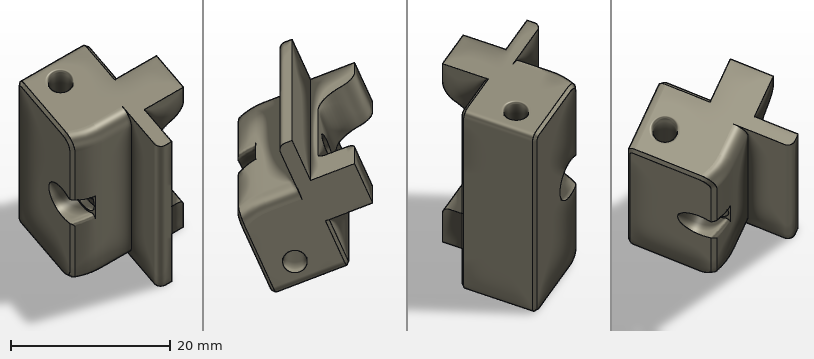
import cadquery as cq
import math

height = 30.6
width = 18.9
depth = 16.5

body_width = 12.9
back_face = 10.5
side_curve_radius = 9.0
side_curve_depth = 4.0
left_corner_radius = 1.0
right_corner_radius = 2.0
edge_chamfer = 0.43

stem_left = 7.0
flange_thickness = 2.0
flange_corner_radius = 1.0

recess_depth = 5.0
recess_floor = depth - recess_depth
step_height = 6.0
step_radius = 1.0
upper_convex_radius = 3.0
upper_concave_radius = 5.0
upper_straight = 3.0

screw_x = 9.95
screw_diameter = 3.4
outer_bore_diameter = 6.0
outer_bore_depth = 3.0
inner_bore_diameter = 5.4
inner_bore_depth = 4.0
bore_mouth_radius = 0.5

pin_x = 3.35
pin_y = 4.35
pin_diameter = 3.1
pin_rim_radius = 0.4


def y_cylinder(diameter, length):
    """Cylinder on the screw axis, starting at the front face."""
    plane = cq.Workplane("XZ", origin=(screw_x, 0, height / 2))
    return plane.circle(diameter / 2).extrude(-length)


def make_body():
    """Block with a curved right side, rounded corners and chamfered front and back."""

    def side_x(y):
        rise = side_curve_depth - y
        return body_width - side_curve_radius + math.sqrt(side_curve_radius**2 - rise**2)

    curve_middle = side_curve_depth / 2
    body = (
        cq.Workplane("XY")
        .lineTo(side_x(0), 0)
        .threePointArc((side_x(curve_middle), curve_middle), (body_width, side_curve_depth))
        .lineTo(body_width, back_face)
        .lineTo(0, back_face)
        .close()
        .extrude(height)
    )
    body = body.edges("not (|X or |Y or |Z)").fillet(right_corner_radius)
    body = body.faces("<X").edges("|Y").fillet(left_corner_radius)
    return body.faces("<Y or >Y").edges().chamfer(edge_chamfer)


def cut_outer_bore(body):
    """Counterbore that breaks out through the curved side, leaving a rounded mouth."""
    bored = body.cut(y_cylinder(outer_bore_diameter, outer_bore_depth))
    bore_radius = outer_bore_diameter / 2
    mouth_edges = cq.selectors.BoxSelector(
        (screw_x + bore_radius / 2, edge_chamfer, height / 2 - bore_radius),
        (body_width, outer_bore_depth - edge_chamfer, height / 2 + bore_radius),
    )
    return bored.edges(mouth_edges).fillet(bore_mouth_radius)


def make_stem():
    """Bar behind the body, with a stepped recess that runs out in an S-curve at the top."""
    radius_sum = upper_convex_radius + upper_concave_radius
    across = radius_sum - recess_depth
    drop = math.sqrt(radius_sum**2 - across**2)
    convex_y = depth - upper_convex_radius
    convex_z = height - upper_straight
    concave_y = recess_floor + upper_concave_radius
    concave_z = convex_z - drop
    tilt = math.atan2(drop, across)

    def arc_point(center_y, center_z, radius, angle):
        return (center_y + radius * math.cos(angle), center_z + radius * math.sin(angle))

    join = arc_point(convex_y, convex_z, upper_convex_radius, -tilt)
    convex_mid = arc_point(convex_y, convex_z, upper_convex_radius, -tilt / 2)
    concave_mid = arc_point(concave_y, concave_z, upper_concave_radius, math.pi - tilt / 2)
    stem_front = back_face - flange_thickness

    stem = (
        cq.Workplane("YZ", origin=(stem_left, 0, 0))
        .moveTo(stem_front, 0)
        .lineTo(depth, 0)
        .lineTo(depth, step_height - step_radius)
        .radiusArc((depth - step_radius, step_height), -step_radius)
        .lineTo(recess_floor + step_radius, step_height)
        .radiusArc((recess_floor, step_height + step_radius), step_radius)
        .lineTo(recess_floor, concave_z)
        .threePointArc(concave_mid, join)
        .threePointArc(convex_mid, (depth, convex_z))
        .lineTo(depth, height)
        .lineTo(stem_front, height)
        .close()
        .extrude(body_width - stem_left)
    )
    return stem


def make_flange():
    """Full-height plate reaching past the body, rounded on its front outer edge."""
    plate = cq.Workplane("XY").box(width - stem_left, flange_thickness, height, centered=False)
    plate = plate.edges("|Z and >X and <Y").fillet(flange_corner_radius)
    return plate.translate((stem_left, back_face - flange_thickness, 0))


def cut_pin_hole(body):
    """Full-height hole with a rounded rim at the top."""
    hole = cq.Workplane("XY", origin=(pin_x, pin_y, 0)).circle(pin_diameter / 2).extrude(height)
    return body.cut(hole).faces(">Z").edges("%CIRCLE").edges("<X").fillet(pin_rim_radius)


part = cut_outer_bore(make_body())
part = part.union(make_stem()).union(make_flange())
part = part.cut(y_cylinder(inner_bore_diameter, inner_bore_depth))
part = part.cut(y_cylinder(screw_diameter, depth))
part = cut_pin_hole(part)
result = cq.Workplane("XY").newObject([part.val()])